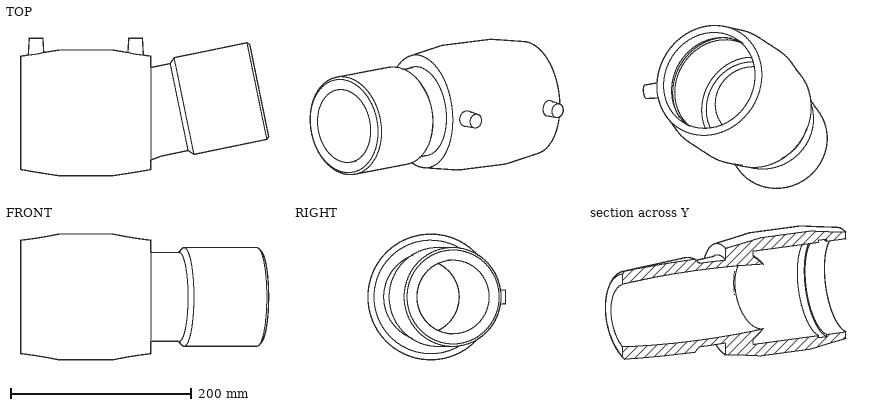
import cadquery as cq
import math

body_length = 144.5
body_diameter = 140.0
body_end_diameter = 126.1
taper_length = 42.5
socket_diameter = 110.0

groove_start = 23.5
groove_width = 9.5
groove_depth = 2.5

bend_angle = 11.6
bend_x = 144.0
neck_diameter = 99.0
neck_start = 2.2
neck_end = 32.5
spigot_diameter = 110.0
spigot_end = 123.5
shoulder_length = (spigot_diameter - neck_diameter) / 2
tip_chamfer = 2.8
bore_diameter = 81.8

flare_start = -22.0
flare_base_diameter = 106.3

dome_radius = 59.2
dome_rim_diameter = 99.0
socket_depth = bend_x - math.sqrt(dome_radius**2 - (dome_rim_diameter / 2) ** 2)

pin_inset = 17.0
pin_tip_y = 83.2
pin_root_y = 56.5
pin_tip_diameter = 15.5
pin_root_diameter = 18.5


def make_body():
    """Cylindrical barrel with both ends tapering down."""
    end_radius = body_end_diameter / 2
    radius = body_diameter / 2
    profile = (
        cq.Workplane("XY")
        .lineTo(0, end_radius)
        .lineTo(taper_length, radius)
        .lineTo(body_length - taper_length, radius)
        .lineTo(body_length, end_radius)
        .lineTo(body_length, 0)
        .close()
    )
    return profile.revolve(360, (0, 0, 0), (1, 0, 0))


def make_spigot():
    """Flare, neck and sleeve as one solid of revolution about the tilted axis."""
    flare_radius = flare_base_diameter / 2
    neck_radius = neck_diameter / 2
    spigot_radius = spigot_diameter / 2
    profile = (
        cq.Workplane("XY")
        .moveTo(flare_start, 0)
        .lineTo(flare_start, flare_radius)
        .lineTo(neck_start, neck_radius)
        .lineTo(neck_end, neck_radius)
        .lineTo(neck_end + shoulder_length, spigot_radius)
        .lineTo(spigot_end - tip_chamfer, spigot_radius)
        .lineTo(spigot_end, spigot_radius - tip_chamfer)
        .lineTo(spigot_end, 0)
        .close()
    )
    straight = profile.revolve(360, (0, 0, 0), (1, 0, 0))
    return straight.rotate((0, 0, 0), (0, 0, 1), bend_angle).translate((bend_x, 0, 0))


def make_pin(x):
    """Tapered pin pointing along +Y."""
    root = cq.Plane(origin=(x, pin_root_y, 0), xDir=(1, 0, 0), normal=(0, 1, 0))
    return (
        cq.Workplane(root)
        .circle(pin_root_diameter / 2)
        .workplane(offset=pin_tip_y - pin_root_y)
        .circle(pin_tip_diameter / 2)
        .loft()
    )


def make_cavity():
    """Socket with its groove and domed floor, plus the tilted bore."""
    socket_radius = socket_diameter / 2
    socket = cq.Workplane("YZ").circle(socket_radius).extrude(socket_depth)
    groove = (
        cq.Workplane("YZ", origin=(groove_start, 0, 0))
        .circle(socket_radius + groove_depth)
        .extrude(groove_width)
    )
    dome = cq.Workplane("XY", origin=(bend_x, 0, 0)).sphere(dome_radius)
    bore = (
        cq.Workplane("YZ", origin=(-dome_radius, 0, 0))
        .circle(bore_diameter / 2)
        .extrude(dome_radius + spigot_end)
        .rotate((0, 0, 0), (0, 0, 1), bend_angle)
        .translate((bend_x, 0, 0))
    )
    return socket.cut(dome).union(groove).union(bore)


result = make_body().union(make_spigot())
for pin_x in (pin_inset, body_length - pin_inset):
    result = result.union(make_pin(pin_x))
result = result.cut(make_cavity())